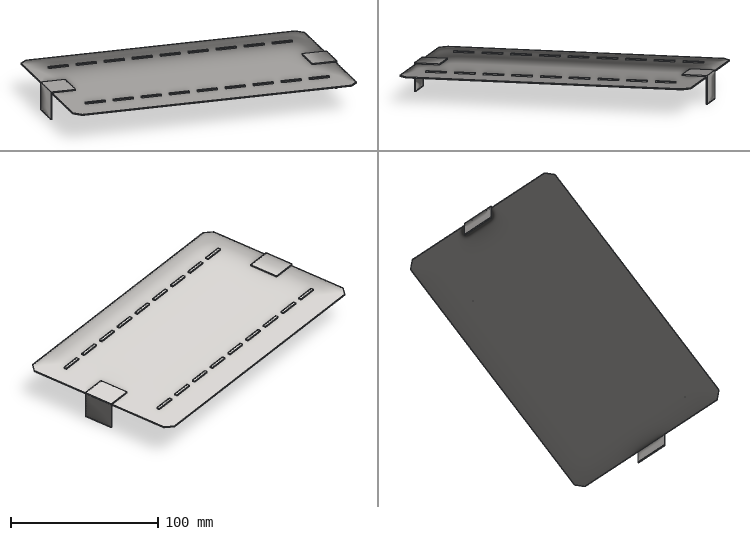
import cadquery as cq

overall_length = 204.5
overall_height = 19.8

clip_thickness = 0.8
clip_width = 22.0
clip_reach = 17.5

plate_width = 120.0
plate_length = overall_length - 2 * clip_thickness
plate_thickness = 0.8
corner_chamfer = 5.1

rib_count = 9
rib_pitch = 20.0
rib_length = 14.1
rib_width = 2.0
rib_height = 0.8
rib_row_spacing = 78.7


def make_plate():
    """Plate with chamfered corners and two rows of raised ribs."""
    sheet = (
        cq.Workplane("XY")
        .box(plate_width, plate_length, plate_thickness, centered=(True, True, False))
        .translate((0, 0, -plate_thickness))
        .edges("|Z")
        .chamfer(corner_chamfer)
    )
    ribs = (
        cq.Workplane("XY")
        .rarray(rib_row_spacing, rib_pitch, 2, rib_count)
        .rect(rib_width, rib_length)
        .extrude(rib_height)
    )
    return sheet.union(ribs)


def make_clip(end):
    """L-shaped clip at one end of the plate: end is -1 for -Y, +1 for +Y."""
    outer_y = end * overall_length / 2
    plate_edge_y = end * plate_length / 2
    flange_tip_y = outer_y - end * clip_reach
    foot_z = clip_thickness - overall_height
    return (
        cq.Workplane("YZ")
        .moveTo(outer_y, foot_z)
        .lineTo(outer_y, clip_thickness)
        .lineTo(flange_tip_y, clip_thickness)
        .lineTo(flange_tip_y, 0)
        .lineTo(plate_edge_y, 0)
        .lineTo(plate_edge_y, foot_z)
        .close()
        .extrude(clip_width / 2, both=True)
    )


plate = make_plate()
clips = [make_clip(end) for end in (-1, 1)]

result = cq.Compound.makeCompound([plate.val(), *[clip.val() for clip in clips]])